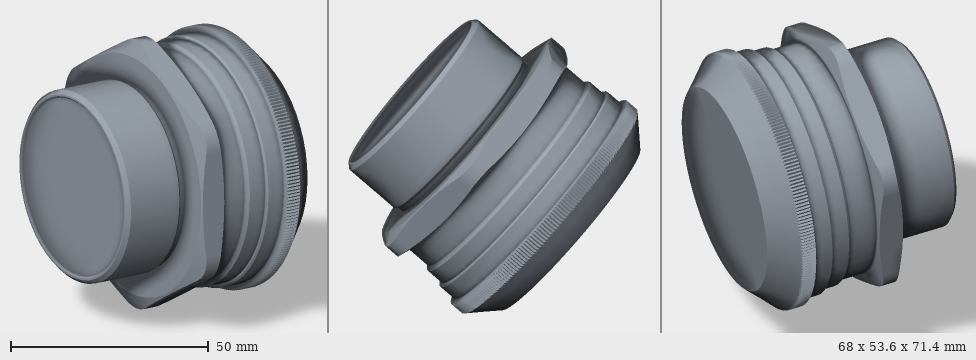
import cadquery as cq
import math

LENGTH = 53.6

SPIGOT_DIA = 50.0
SPIGOT_CHAMFER = 1.1
UNDERCUT_DIA = 48.5
UNDERCUT_START = 15.85
RECESS_MOUTH_DIA = 46.9
RECESS_DEPTH = 0.5

HEX_START = 18.05
HEX_END = 25.0
HEX_ACROSS_FLATS = 64.05
HEX_ACROSS_CORNERS = 71.4
HEX_FACE_DIA = 63.0
HEX_CHAMFER_ANGLE = 20.0

BODY_DIA = 61.0
COLLAR_DIA = 63.0
COLLAR_START = 32.0
FLANGE_DIA = 65.0
FLANGE_START = 37.55
FLANGE_CHAMFER = 0.4

CAP_START = 42.55
CAP_LEAD_ANGLE = 20.0
CAP_DIA = 68.0
CAP_BACK_DIA = 53.9
CAP_CONE_LENGTH = 7.1
KNURL_COUNT = 240
KNURL_DEPTH = 0.5


def turned(profile):
    """Revolve (radius, y) points, closed along the axis, about the Y axis."""
    axis_points = [(0, profile[-1][1]), (0, profile[0][1])]
    outline = cq.Workplane("XY").polyline(profile + axis_points).close()
    return outline.revolve(360, (0, 0, 0), (0, 1, 0))


def prism_plane(y):
    """Plane at height y whose extrusions run toward +Y."""
    return cq.Workplane(cq.Plane(origin=(0, y, 0), xDir=(1, 0, 0), normal=(0, 1, 0)))


def make_body():
    spigot_radius = SPIGOT_DIA / 2
    undercut_radius = UNDERCUT_DIA / 2
    body_radius = BODY_DIA / 2
    collar_radius = COLLAR_DIA / 2
    flange_radius = FLANGE_DIA / 2
    undercut_step = spigot_radius - undercut_radius
    collar_step = collar_radius - body_radius
    return turned([
        (spigot_radius - SPIGOT_CHAMFER, 0),
        (spigot_radius, SPIGOT_CHAMFER),
        (spigot_radius, UNDERCUT_START),
        (undercut_radius, UNDERCUT_START + undercut_step),
        (undercut_radius, HEX_START),
        (body_radius, HEX_START),
        (body_radius, COLLAR_START),
        (collar_radius, COLLAR_START + collar_step),
        (collar_radius, FLANGE_START),
        (flange_radius - FLANGE_CHAMFER, FLANGE_START),
        (flange_radius, FLANGE_START + FLANGE_CHAMFER),
        (flange_radius, CAP_START),
    ])


def make_hexagon():
    sharp_corners = HEX_ACROSS_FLATS / math.cos(math.radians(30))
    corner_cut = (sharp_corners - HEX_ACROSS_CORNERS) / 2
    corner_radius = corner_cut / (1 / math.cos(math.radians(30)) - 1)
    prism = (
        prism_plane(HEX_START)
        .transformed(rotate=(0, 0, 30))
        .polygon(6, sharp_corners)
        .extrude(HEX_END - HEX_START)
        .edges("|Y")
        .fillet(corner_radius)
    )
    face_radius = HEX_FACE_DIA / 2
    rim_radius = sharp_corners / 2
    rim_drop = (rim_radius - face_radius) * math.tan(math.radians(HEX_CHAMFER_ANGLE))
    chamfered_blank = turned([
        (face_radius, HEX_START),
        (rim_radius, HEX_START + rim_drop),
        (rim_radius, HEX_END - rim_drop),
        (face_radius, HEX_END),
    ])
    return prism.intersect(chamfered_blank)


def make_cap():
    tip_radius = CAP_DIA / 2
    root_radius = tip_radius - KNURL_DEPTH
    flange_radius = FLANGE_DIA / 2
    lead_rise = (tip_radius - flange_radius) * math.tan(math.radians(CAP_LEAD_ANGLE))
    blank = turned([
        (flange_radius, CAP_START),
        (tip_radius, CAP_START + lead_rise),
        (tip_radius, LENGTH - CAP_CONE_LENGTH),
        (CAP_BACK_DIA / 2, LENGTH),
    ])
    knurl_outline = []
    for tooth in range(KNURL_COUNT):
        for radius, offset in ((root_radius, 0), (tip_radius, 0.5)):
            angle = 2 * math.pi * (tooth + offset) / KNURL_COUNT
            knurl_outline.append((radius * math.cos(angle), radius * math.sin(angle)))
    knurl = prism_plane(CAP_START).polyline(knurl_outline).close().extrude(LENGTH - CAP_START)
    return blank.intersect(knurl)


def make_recess():
    """Shallow 45 degree dished recess in the threaded end face."""
    mouth_radius = RECESS_MOUTH_DIA / 2
    return turned([
        (mouth_radius, 0),
        (mouth_radius - RECESS_DEPTH, RECESS_DEPTH),
    ])


result = make_body().union(make_hexagon()).union(make_cap()).cut(make_recess())